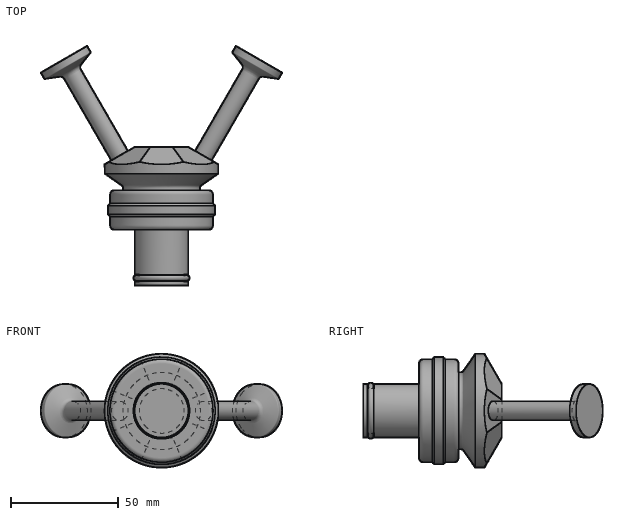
import cadquery as cq
import math


overall_width = 112.4

stem_diameter = 25.0
groove_diameter = 20.8
groove_start = 2.0
groove_width = 3.0
ring_section_diameter = 2.7

collar_diameter = 48.0
collar_start = 26.0
collar_end = 44.4
collar_fillet = 2.0
band_diameter = 50.0
band_start = 32.1
band_end = 38.2

neck_diameter = 36.0
neck_end = 46.2
neck_fillet = 1.0
head_diameter = 53.0
head_cone_end = 52.1
head_end = 64.5
top_flat_width = 25.0
facet_count = 8
facet_slope = 30.0

arm_diameter = 9.0
arm_embed = 6.7
pad_diameter = 25.0
pad_rim_height = 3.5
pad_height = 6.6
pad_neck_fillet = 2.0
pad_edge_fillet = 0.5

band_chamfer = (band_diameter - collar_diameter) / 2
groove_end = groove_start + groove_width
slope_tangent = math.tan(math.radians(facet_slope))
facet_run = (head_diameter - top_flat_width) / 2
facet_drop = facet_run * slope_tangent
arm_base_x = (head_diameter + top_flat_width) / 4
arm_base_y = head_end - facet_drop / 2
pad_centre_x = overall_width / 2 - pad_diameter / 2 * math.cos(math.radians(facet_slope))
arm_length = (pad_centre_x - arm_base_x) / math.sin(math.radians(facet_slope))


def disc(diameter, start, end):
    """Cylinder about the Y axis between two places on it."""
    return cq.Workplane("XZ", origin=(0, start, 0)).circle(diameter / 2).extrude(start - end)


def make_stem():
    """Stem with the O-ring groove near its free end."""
    stem = disc(stem_diameter, 0, collar_start)
    groove = disc(stem_diameter, groove_start, groove_end).cut(
        disc(groove_diameter, groove_start, groove_end)
    )
    return stem.cut(groove)


def make_collar():
    """Rounded collar with a chamfered band around its middle."""
    collar = disc(collar_diameter, collar_start, collar_end).edges().fillet(collar_fillet)
    band = disc(band_diameter, band_start, band_end).edges().chamfer(band_chamfer)
    return collar.union(band)


def make_head():
    """Neck and flared head with facets on its far side."""
    profile = [
        (0, collar_end),
        (neck_diameter / 2, collar_end),
        (neck_diameter / 2, neck_end),
        (head_diameter / 2, head_cone_end),
        (head_diameter / 2, head_end),
        (0, head_end),
    ]
    blank = cq.Workplane("XY").polyline(profile).close().revolve(360, (0, 0), (0, 1))
    blank = rounded_circle(blank, neck_diameter / 2, neck_end, neck_fillet)
    return blank.intersect(make_facet_pyramid())


def make_facet_pyramid():
    """Pyramid frustum whose sloping sides cut the facets on the head."""
    flats_to_vertices = 1 / math.cos(math.pi / facet_count)
    height = head_end - collar_end
    base_width = top_flat_width + 2 * height / slope_tangent
    half_sector = 180 / facet_count
    return (
        cq.Workplane("XZ", origin=(0, head_end, 0))
        .transformed(rotate=(0, 0, half_sector))
        .polygon(facet_count, top_flat_width * flats_to_vertices)
        .workplane(offset=height)
        .polygon(facet_count, base_width * flats_to_vertices)
        .loft(ruled=True)
    )


def make_arm(side):
    """Arm with its pad; side is +1 for the +X arm and -1 for the -X arm."""
    arm_radius = arm_diameter / 2
    pad_radius = pad_diameter / 2
    pad_neck = arm_length - pad_height
    pad_rim = arm_length - pad_rim_height
    profile = [
        (0, -arm_embed),
        (arm_radius, -arm_embed),
        (arm_radius, pad_neck),
        (pad_radius, pad_rim),
        (pad_radius, arm_length),
        (0, arm_length),
    ]
    arm = cq.Workplane("XY").polyline(profile).close().revolve(360, (0, 0), (0, 1))
    arm = rounded_circle(arm, arm_radius, pad_neck, pad_neck_fillet)
    arm = rounded_circle(arm, pad_radius, pad_rim, pad_edge_fillet)
    arm = arm.rotate((0, 0, 0), (0, 0, 1), -side * facet_slope)
    return arm.translate((side * arm_base_x, arm_base_y, 0))


def rounded_circle(body, radius, place, fillet):
    """Fillet the circular edge of a given radius at a place on the Y axis."""
    margin = 0.1
    reach = radius + margin
    selector = cq.selectors.BoxSelector(
        (-reach, place - margin, -reach), (reach, place + margin, reach), boundingbox=True
    )
    return body.edges(selector).fillet(fillet)


def make_o_ring():
    """O-ring seated on the floor of the stem groove."""
    section_radius = ring_section_diameter / 2
    ring_radius = groove_diameter / 2 + section_radius
    groove_middle = (groove_start + groove_end) / 2
    ring = cq.Solid.makeTorus(
        ring_radius, section_radius, cq.Vector(0, groove_middle, 0), cq.Vector(0, 1, 0)
    )
    return cq.Workplane(ring)


housing = make_stem().union(make_collar()).union(make_head())
for arm_side in (-1, 1):
    housing = housing.union(make_arm(arm_side))

o_ring = make_o_ring()

result = cq.Compound.makeCompound([housing.val(), o_ring.val()])